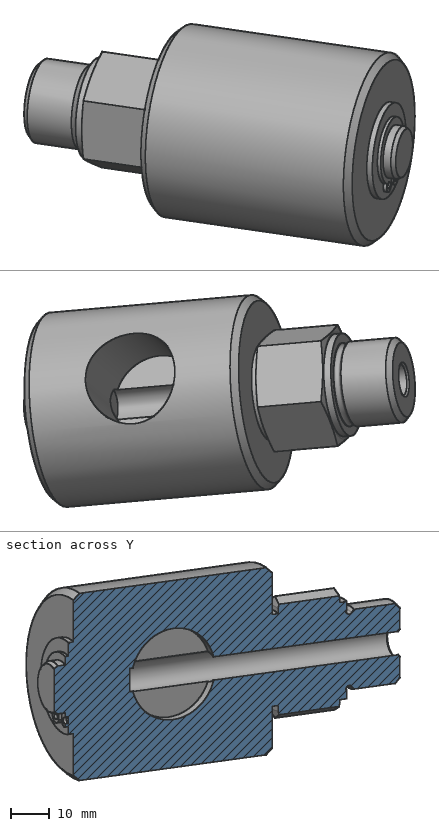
import cadquery as cq
import math


total_length = 101.6
thread_end = 13.6
collar_start = 15.6
hex_start = 17.6
hex_end = 35.9
body_start = 37.5
body_end = 95.9
rear_disc_end = 97.4
ring_end = 98.3

thread_diameter = 22.3
thread_chamfer = 1.4
undercut_diameter = 20.0
undercut_radius = 0.9
undercut_depth_in_collar = 0.2
collar_diameter = 26.8
disc_diameter = 25.4
body_diameter = 50.8
body_chamfer_length = 1.8
body_chamfer_height = 1.6
pin_diameter = 14.0
pin_end_diameter = 12.8
pin_chamfer_length = 1.1

hex_across_flats = 28.4
hex_face_diameter = 28.0
hex_chamfer_length = 0.5

ring_diameter = 17.7
ring_offset = 0.3
ear_radius = 1.8
ear_hole_diameter = 1.7
ear_center_y = 2.5
ear_center_z = -8.5
ring_gap = 1.6

bore_diameter = 8.0
bore_chamfer = 0.5
bore_end = 79.2
port_center = 66.5
port_diameter = 24.4


def turned(points):
    """Revolve a closed profile of (x, radius) points about the X axis."""
    return cq.Workplane("XY").polyline(points).close().revolve(360, (0, 0, 0), (1, 0, 0))


def turned_sections():
    thread_r = thread_diameter / 2
    collar_r = collar_diameter / 2
    disc_r = disc_diameter / 2
    body_r = body_diameter / 2
    body_face_r = body_r - body_chamfer_height
    pin_r = pin_diameter / 2
    return turned([
        (0, 0),
        (0, thread_r - thread_chamfer),
        (thread_chamfer, thread_r),
        (collar_start, thread_r),
        (collar_start, collar_r),
        (hex_start, collar_r),
        (hex_start, disc_r),
        (body_start, disc_r),
        (body_start, body_face_r),
        (body_start + body_chamfer_length, body_r),
        (body_end - body_chamfer_length, body_r),
        (body_end, body_face_r),
        (body_end, disc_r),
        (rear_disc_end, disc_r),
        (rear_disc_end, pin_r),
        (total_length - pin_chamfer_length, pin_r),
        (total_length, pin_end_diameter / 2),
        (total_length, 0),
    ])


def thread_undercut():
    """Groove behind the thread: a slope, then an arc that runs slightly into the collar face."""
    thread_r = thread_diameter / 2
    undercut_end = collar_start + undercut_depth_in_collar
    arc_center_x = undercut_end - undercut_radius
    arc_center_r = undercut_diameter / 2 + undercut_radius
    diagonal = undercut_radius * math.sqrt(0.5)
    slope_foot_x = arc_center_x - diagonal
    slope_foot_r = arc_center_r - diagonal
    return (
        cq.Workplane("XY")
        .moveTo(thread_end, thread_r)
        .lineTo(slope_foot_x, slope_foot_r)
        .threePointArc((arc_center_x + diagonal, slope_foot_r), (undercut_end, arc_center_r))
        .lineTo(collar_start, arc_center_r)
        .lineTo(collar_start, thread_r)
        .close()
        .revolve(360, (0, 0, 0), (1, 0, 0))
    )


def hexagon():
    """Hexagon with corners at +Z and -Z, its corners chamfered at both ends."""
    corner_diameter = hex_across_flats / math.cos(math.pi / 6)
    corner_r = corner_diameter / 2
    face_r = hex_face_diameter / 2
    prism = (
        cq.Workplane("YZ", origin=(hex_start, 0, 0))
        .transformed(rotate=(0, 0, 90))
        .polygon(6, corner_diameter)
        .extrude(hex_end - hex_start)
    )
    envelope = turned([
        (hex_start, 0),
        (hex_start, face_r),
        (hex_start + hex_chamfer_length, corner_r),
        (hex_end - hex_chamfer_length, corner_r),
        (hex_end, face_r),
        (hex_end, 0),
    ])
    return prism.intersect(envelope)


def retaining_ring():
    """Split ring around the pin with two drilled ears below it."""
    thickness = ring_end - rear_disc_end
    plane = cq.Workplane("YZ", origin=(rear_disc_end, 0, 0))
    ear_centers = [(-ear_center_y, ear_center_z), (ear_center_y, ear_center_z)]
    ring = plane.center(0, ring_offset).circle(ring_diameter / 2).extrude(thickness)
    ears = plane.pushPoints(ear_centers).circle(ear_radius).extrude(thickness)
    ear_holes = plane.pushPoints(ear_centers).circle(ear_hole_diameter / 2).extrude(thickness)
    gap = plane.center(0, -ring_diameter / 2).rect(ring_gap, ring_diameter).extrude(thickness)
    return ring.union(ears).cut(ear_holes).cut(gap)


def axial_bore():
    """Blind bore from the thread end past the port, with a chamfered mouth."""
    bore_r = bore_diameter / 2
    return turned([
        (0, 0),
        (0, bore_r + bore_chamfer),
        (bore_chamfer, bore_r),
        (bore_end, bore_r),
        (bore_end, 0),
    ])


def side_port():
    """Radial port from the +Y side down to the axis."""
    return (
        cq.Workplane("XZ", origin=(port_center, 0, 0))
        .circle(port_diameter / 2)
        .extrude(-body_diameter / 2)
    )


result = (
    turned_sections()
    .cut(thread_undercut())
    .union(hexagon())
    .union(retaining_ring())
    .cut(axial_bore())
    .cut(side_port())
)